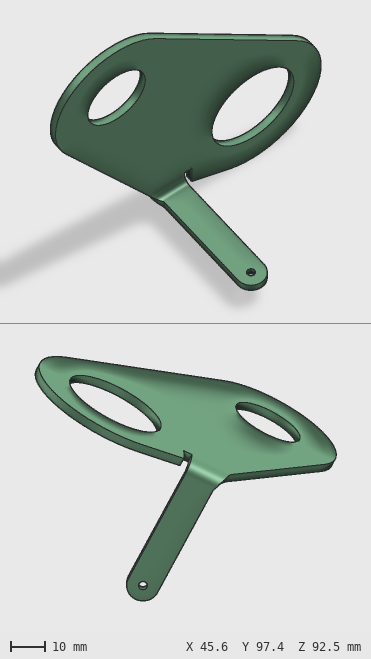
import cadquery as cq
import math

thickness = 2.5
bend_inner_radius = 2.5
bend_outer_radius = bend_inner_radius + thickness

large_center = (0, 0)
large_radius = 25.0
large_hole_diameter = 30.0
small_center = (-50.0, 45.1)
small_radius = 22.4
small_hole_diameter = 21.0

tab_width = 9.5
tab_inner_y = -25.0
tab_outer_y = tab_inner_y - tab_width
tab_mid_y = (tab_inner_y + tab_outer_y) / 2
tab_tip_x = 45.6
tab_hole_diameter = 2.5
tab_end_radius = tab_width / 2
tab_end_center_x = tab_tip_x - tab_end_radius
bend_line_z = -13.1
bend_taper = 3.2
tab_bottom_z = bend_line_z - bend_outer_radius
notch_width = 2.6
notch_outer_y = tab_inner_y + notch_width
notch_top_z = -12.0
notch_bottom_z = -18.4


def on_circle(center, radius, angle):
    """Point on a circle at the given angle in radians."""
    return (center[0] + radius * math.cos(angle), center[1] + radius * math.sin(angle))


def tangent_angle(center, radius, point, side):
    """Angle on the circle where a line from an outside point touches it."""
    dy = point[0] - center[0]
    dz = point[1] - center[1]
    return math.atan2(dz, dy) + side * math.acos(radius / math.hypot(dy, dz))


def make_plate():
    """Two lobes joined by a tangent line, with the relief notch and both holes."""
    dy = small_center[0] - large_center[0]
    dz = small_center[1] - large_center[1]
    upper = math.atan2(dz, dy) - math.acos((large_radius - small_radius) / math.hypot(dy, dz))
    bend_corner = (tab_outer_y - bend_taper, bend_line_z)
    notch_corner = (notch_outer_y, notch_bottom_z)
    small_lower = tangent_angle(small_center, small_radius, bend_corner, -1) + 2 * math.pi
    large_lower = tangent_angle(large_center, large_radius, notch_corner, 1)

    plate = (
        cq.Workplane("YZ")
        .moveTo(*notch_corner)
        .lineTo(notch_outer_y, notch_top_z)
        .lineTo(tab_inner_y, notch_top_z)
        .lineTo(tab_inner_y, bend_line_z)
        .lineTo(*bend_corner)
        .lineTo(*on_circle(small_center, small_radius, small_lower))
        .threePointArc(
            on_circle(small_center, small_radius, (small_lower + upper) / 2),
            on_circle(small_center, small_radius, upper),
        )
        .lineTo(*on_circle(large_center, large_radius, upper))
        .threePointArc(
            on_circle(large_center, large_radius, (upper + large_lower) / 2),
            on_circle(large_center, large_radius, large_lower),
        )
        .close()
        .extrude(thickness)
    )
    holes = ((large_center, large_hole_diameter), (small_center, small_hole_diameter))
    for center, diameter in holes:
        hole = cq.Workplane("YZ").center(*center).circle(diameter / 2).extrude(thickness)
        plate = plate.cut(hole)
    return plate


def bend_plane(y):
    """XZ plane centred on the bend axis, with its normal along -Y."""
    return cq.Workplane("XZ", origin=(bend_outer_radius, y, bend_line_z))


def quarter_bend(y, width):
    """Quarter ring from the plate to the tab, reaching from y towards -Y."""
    ring = bend_plane(y).circle(bend_outer_radius).circle(bend_inner_radius).extrude(width)
    half = bend_outer_radius / 2
    quadrant = (
        bend_plane(y).center(-half, -half).rect(bend_outer_radius, bend_outer_radius).extrude(width)
    )
    return ring.intersect(quadrant)


def make_bend():
    """Bend whose outer edge narrows evenly with bend angle, down to the tab width."""
    straight = quarter_bend(tab_inner_y, tab_width)
    reach = 2 * bend_outer_radius
    turning_block = (
        bend_plane(tab_outer_y)
        .polyline([(0, -reach), (0, reach), (-reach, reach), (-reach, -reach)])
        .close()
        .twistExtrude(bend_taper, -90)
    )
    taper = quarter_bend(tab_outer_y, bend_taper).intersect(turning_block)
    return straight.union(taper)


def make_tab():
    """Flat tab with a rounded end and a concentric hole."""
    return (
        cq.Workplane("XY", origin=(0, 0, tab_bottom_z))
        .moveTo(bend_outer_radius, tab_inner_y)
        .lineTo(tab_end_center_x, tab_inner_y)
        .threePointArc((tab_tip_x, tab_mid_y), (tab_end_center_x, tab_outer_y))
        .lineTo(bend_outer_radius, tab_outer_y)
        .close()
        .moveTo(tab_end_center_x, tab_mid_y)
        .circle(tab_hole_diameter / 2)
        .extrude(thickness)
    )


result = make_plate().union(make_bend()).union(make_tab())